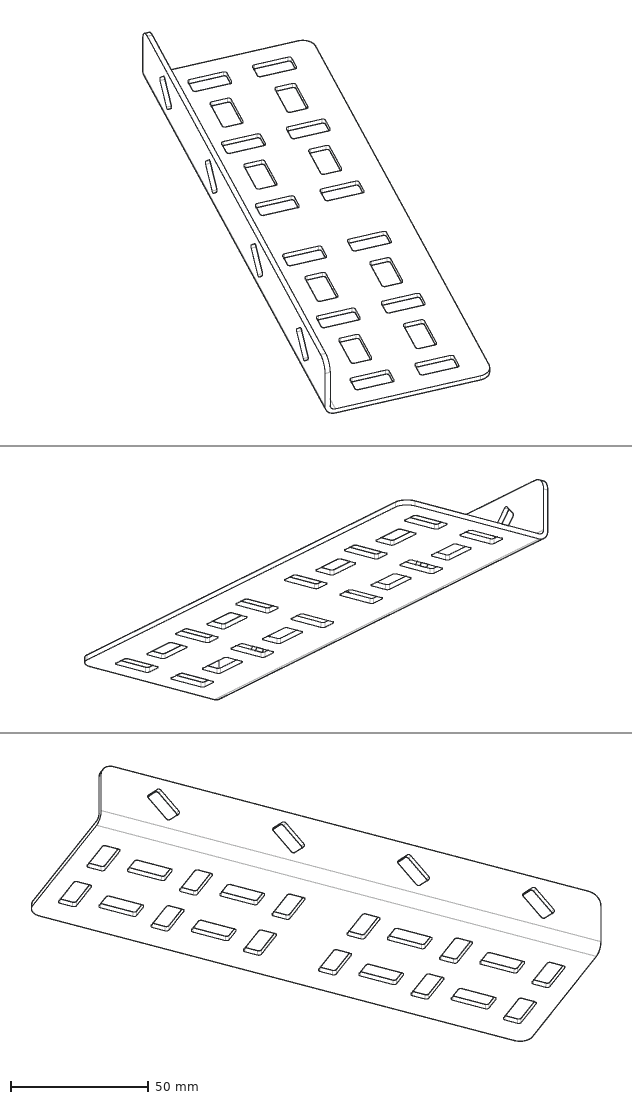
import cadquery as cq

length = 200.0
depth = 65.0
height = 25.0

thickness = 2.0
inner_bend_radius = 2.0
outer_bend_radius = inner_bend_radius + thickness
corner_radius = 5.0

slot_length = 15.0
crosswise_slot_width = 7.0
lengthwise_slot_width = 8.0
slot_corner_radius = 1.0
slot_row_offset = 22.0
slot_row_pitch = 25.0
inner_slot_offset = 15.0
crosswise_slot_pitch = 37.0
crosswise_slots_per_side = 3

flange_slot_count = 4
flange_slot_pitch = length / flange_slot_count
flange_slot_length = 12.0
flange_slot_width = 7.0
flange_slot_height = 14.0
flange_slot_angle = -45.0


def angle_body():
    """L-shaped sheet, front face at Y = 0, underside at Z = 0, centred in X."""

    def leg_block(y_start, z_start):
        return cq.Workplane("XY").box(
            length, depth - y_start, height - z_start, centered=(True, False, False)
        ).translate((0, y_start, z_start))

    outside = leg_block(0, 0).edges("|X and <Y and <Z").fillet(outer_bend_radius)
    inside = leg_block(thickness, thickness).edges("|X and <Y and <Z").fillet(inner_bend_radius)
    return outside.cut(inside)


def round_free_corners(body):
    """Round the two rear corners of the base and the two top corners of the flange."""
    body = body.edges("|Z and >Y").fillet(corner_radius)
    return body.edges("|Y and >Z").fillet(corner_radius)


def rounded_slot(size_x, size_y, cut_depth):
    """Rectangular cutter with rounded corners, standing on the XY plane."""
    return (
        cq.Workplane("XY")
        .rect(size_x, size_y)
        .extrude(cut_depth)
        .edges("|Z")
        .fillet(slot_corner_radius)
    )


def cut_base_slots(body):
    """Two rows of alternating slots, mirrored about the middle of the length."""
    crosswise = rounded_slot(crosswise_slot_width, slot_length, thickness)
    lengthwise = rounded_slot(slot_length, lengthwise_slot_width, thickness)
    for y in (slot_row_offset, slot_row_offset + slot_row_pitch):
        for side in (-1, 1):
            for i in range(crosswise_slots_per_side):
                x = inner_slot_offset + i * crosswise_slot_pitch
                body = body.cut(crosswise.translate((side * x, y, 0)))
            for i in range(crosswise_slots_per_side - 1):
                x = inner_slot_offset + (i + 0.5) * crosswise_slot_pitch
                body = body.cut(lengthwise.translate((side * x, y, 0)))
    return body


def cut_flange_slots(body):
    """Evenly spaced slots through the flange, sloping down toward +X."""
    slot = (
        rounded_slot(flange_slot_length, flange_slot_width, thickness)
        .rotate((0, 0, 0), (0, 0, 1), flange_slot_angle)
        .rotate((0, 0, 0), (1, 0, 0), 90)
        .translate((0, thickness, flange_slot_height))
    )
    for i in range(flange_slot_count):
        x = (i + 0.5) * flange_slot_pitch - length / 2
        body = body.cut(slot.translate((x, 0, 0)))
    return body


plain_angle = round_free_corners(angle_body())
result = cut_flange_slots(cut_base_slots(plain_angle)).val()